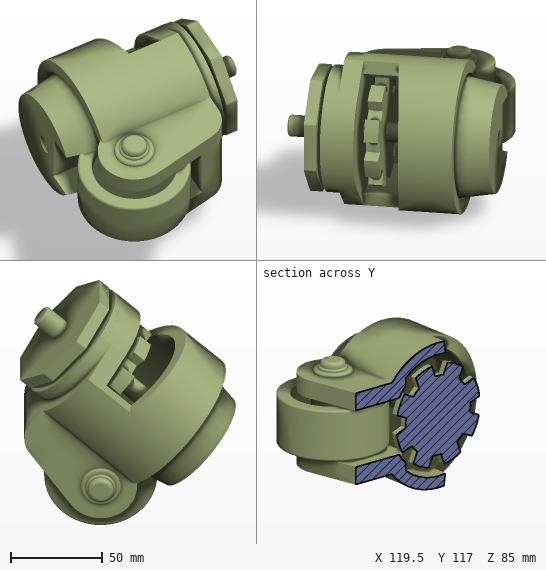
import cadquery as cq
import math


stem_top = 117.0
stem_upper_diameter = 12.0
stem_lower_diameter = 10.8
stem_chamfer = 1.0

housing_radius = 42.48
bore_radius = 35.4
housing_bottom = 18.5
housing_top = 85.5
bore_flat_x = 22.8

window_x_outer = -4.3
window_x_inner = -5.3
window_sill_edge = 55.1
window_sill_rim = 48.3
window_top = 74.8

cap_diameter = 70.0
cap_top = 93.3
arm_radius = 35.1
arm_top = 90.0
neck_diameter = 41.0
nut_bottom = 95.8
nut_top = 102.8
nut_sides = 8
nut_width = 64.9
nut_corner_radius = 1.4

pad_bottom_diameter = 60.1
pad_top_diameter = 69.0
pad_height = 25.0
pad_notch_x = 10.4
pad_hole_diameter = 10.0
pad_hole_depth = 17.9

gear_bottom = 62.0
gear_top = 69.9
gear_tip_radius = 30.0
gear_root_diameter = 46.5
gear_teeth = 8
gear_tooth_width = 12.5
gear_first_tooth_angle = 24.7
gear_chamber_radius = 32.1

wheel_diameter = 62.0
wheel_radius = wheel_diameter / 2
wheel_width = 29.4
wheel_edge_fillet = 1.2
wheel_recess_diameter = 46.5
wheel_recess_chamfer = 0.7
wheel_recess_depth = 7.8
wheel_hub_diameter = 24.0
axle_x = 46.0
axle_y = wheel_radius

fork_half_width = 26.8
slot_half_width = 16.4
slot_top = 66.0
fork_end_radius = 20.0
fork_shoulder_radius = 14.9
fork_shoulder_x = 42.5

washer_diameter = 22.0
washer_height = 2.0
washer_rounding = 1.5
collar_diameter = 16.4
collar_height = 3.5
collar_rounding = 1.14
head_diameter = 14.0
head_height = 6.9
head_rounding = 2.4

overshoot = 12.0


def turned(diameter, bottom, top):
    """Cylinder about the stem axis between two places along Y."""
    return cq.Workplane("XZ", origin=(0, bottom, 0)).circle(diameter / 2).extrude(bottom - top)


def block(x_min, x_max, y_min, y_max, half_width):
    """Box symmetric about the plane Z = 0."""
    return (
        cq.Workplane("XY", origin=(0, 0, -half_width))
        .moveTo(x_min, y_min)
        .lineTo(x_max, y_min)
        .lineTo(x_max, y_max)
        .lineTo(x_min, y_max)
        .close()
        .extrude(2 * half_width)
    )


def make_fork():
    """Solid fork profile: flat top, round shoulder, sloping back and round end about the axle."""
    shoulder_y = housing_top - fork_shoulder_radius
    to_shoulder_x = fork_shoulder_x - axle_x
    to_shoulder_y = shoulder_y - axle_y
    distance = math.hypot(to_shoulder_x, to_shoulder_y)
    normal = math.atan2(to_shoulder_y, to_shoulder_x) - math.acos(
        (fork_end_radius - fork_shoulder_radius) / distance
    )
    shoulder_mid = (normal + math.pi / 2) / 2

    def on_shoulder(angle):
        return (
            fork_shoulder_x + fork_shoulder_radius * math.cos(angle),
            shoulder_y + fork_shoulder_radius * math.sin(angle),
        )

    def on_end(angle):
        return (
            axle_x + fork_end_radius * math.cos(angle),
            axle_y + fork_end_radius * math.sin(angle),
        )

    end_stop = math.pi + math.asin((axle_y - housing_bottom) / fork_end_radius)
    end_mid = (end_stop + normal + 2 * math.pi) / 2
    return (
        cq.Workplane("XY", origin=(0, 0, -fork_half_width))
        .moveTo(bore_flat_x, housing_bottom)
        .lineTo(bore_flat_x, housing_top)
        .lineTo(fork_shoulder_x, housing_top)
        .threePointArc(on_shoulder(shoulder_mid), on_shoulder(normal))
        .lineTo(*on_end(normal))
        .threePointArc(on_end(end_mid), on_end(end_stop))
        .close()
        .extrude(2 * fork_half_width)
    )


def window_cut():
    """Opening on the -X side with a sloping sill and slightly leaning ends."""
    lean = (window_x_inner - window_x_outer) / (housing_radius - bore_radius)
    x_far = -housing_radius - overshoot
    z_far = housing_radius + overshoot
    x_at_far = window_x_outer - lean * overshoot
    plan = (
        cq.Workplane("XZ")
        .moveTo(x_far, -z_far)
        .lineTo(x_at_far, -z_far)
        .lineTo(window_x_inner, -bore_radius)
        .lineTo(window_x_inner, bore_radius)
        .lineTo(x_at_far, z_far)
        .lineTo(x_far, z_far)
        .close()
        .extrude(-window_top)
    )
    sill_slope = (window_sill_edge - window_sill_rim) / (window_x_outer + housing_radius)
    side = (
        cq.Workplane("XY", origin=(0, 0, -z_far))
        .moveTo(x_far, window_sill_rim - sill_slope * overshoot)
        .lineTo(0, window_sill_edge - sill_slope * window_x_outer)
        .lineTo(0, window_top)
        .lineTo(x_far, window_top)
        .close()
        .extrude(2 * z_far)
    )
    return plan.intersect(side)


def head_plate():
    """Top plate of the housing, narrowed to the arm on the -X side by two slanting flats."""
    flat_outer_z = math.sqrt(housing_radius**2 - window_x_outer**2)
    flat_inner_x = -math.sqrt(arm_radius**2 - fork_half_width**2)
    plate = (
        cq.Workplane("XZ", origin=(0, window_top, 0))
        .moveTo(window_x_outer, flat_outer_z)
        .threePointArc((housing_radius, 0), (window_x_outer, -flat_outer_z))
        .lineTo(flat_inner_x, -fork_half_width)
        .lineTo(flat_inner_x, fork_half_width)
        .close()
        .extrude(window_top - housing_top)
    )
    arm = turned(2 * arm_radius, window_top, arm_top).intersect(
        block(-housing_radius, flat_inner_x, window_top, arm_top, housing_radius)
    )
    return plate.union(arm)


def make_housing():
    """Housing with fork, hollowed for the foot pad, the gear and the wheel."""
    bore = turned(2 * bore_radius, housing_bottom, window_top).intersect(
        block(-housing_radius, bore_flat_x, 0, window_top, housing_radius)
    )
    body = turned(2 * housing_radius, housing_bottom, window_top)
    body = body.union(head_plate()).union(make_fork())
    chamber = turned(2 * gear_chamber_radius, gear_bottom, window_top)
    slot = block(0, axle_x + wheel_radius, 0, slot_top, slot_half_width)
    return body.cut(bore).cut(window_cut()).cut(chamber).cut(slot)


def make_cap_and_nut():
    cap = turned(cap_diameter, window_top, cap_top)
    neck = turned(neck_diameter, cap_top, nut_bottom)
    nut = (
        cq.Workplane("XZ", origin=(0, nut_bottom, 0))
        .polygon(nut_sides, nut_width, circumscribed=True)
        .extrude(nut_bottom - nut_top)
        .edges("|Y")
        .fillet(nut_corner_radius)
    )
    return cap.union(neck).union(nut)


def make_stem():
    upper = turned(stem_upper_diameter, nut_bottom, stem_top).faces(">Y").chamfer(stem_chamfer)
    lower = turned(stem_lower_diameter, pad_hole_depth, nut_bottom)
    return upper.union(lower)


def make_pad():
    """Conical foot pad with a notch for the wheel and a blind hole in its sole."""
    cone = (
        cq.Workplane("XY")
        .moveTo(0, 0)
        .lineTo(pad_bottom_diameter / 2, 0)
        .lineTo(pad_top_diameter / 2, pad_height)
        .lineTo(0, pad_height)
        .close()
        .revolve(360, (0, 0, 0), (0, 1, 0))
    )
    notch = block(pad_notch_x, pad_top_diameter, 0, pad_height, slot_half_width)
    return cone.cut(notch)


def make_gear():
    root = turned(gear_root_diameter, gear_bottom, gear_top)
    tips = turned(2 * gear_tip_radius, gear_bottom, gear_top)
    tooth = block(0, gear_tip_radius + overshoot, gear_bottom, gear_top, gear_tooth_width / 2)
    tooth = tooth.intersect(tips)
    gear = root
    for index in range(gear_teeth):
        angle = gear_first_tooth_angle + index * 360 / gear_teeth
        gear = gear.union(tooth.rotate((0, 0, 0), (0, 1, 0), -angle))
    return gear


def make_wheel():
    """Wheel, hub and axle ends as one turned body about the axle."""
    half_width = wheel_width / 2
    recess_floor = half_width - wheel_recess_depth
    tread = (
        cq.Workplane("XY", origin=(0, 0, -half_width))
        .circle(wheel_radius)
        .extrude(wheel_width)
        .edges()
        .fillet(wheel_edge_fillet)
    )
    recess = (
        cq.Workplane("XY", origin=(0, 0, recess_floor))
        .circle(wheel_recess_diameter / 2)
        .extrude(wheel_recess_depth)
    )
    rim = (
        cq.Workplane("XY", origin=(0, 0, half_width - wheel_recess_chamfer))
        .circle(wheel_recess_diameter / 2)
        .workplane(offset=wheel_recess_chamfer)
        .circle(wheel_recess_diameter / 2 + wheel_recess_chamfer)
        .loft()
    )
    recess = recess.union(rim)
    hub = cq.Workplane("XY").circle(wheel_hub_diameter / 2).extrude(slot_half_width)
    washer = (
        cq.Workplane("XY", origin=(0, 0, fork_half_width))
        .circle(washer_diameter / 2)
        .extrude(washer_height)
        .faces(">Z")
        .edges()
        .fillet(washer_rounding)
    )
    collar = (
        cq.Workplane("XY", origin=(0, 0, fork_half_width))
        .circle(collar_diameter / 2)
        .extrude(collar_height)
        .faces(">Z")
        .edges()
        .fillet(collar_rounding)
    )
    head = (
        cq.Workplane("XY")
        .circle(head_diameter / 2)
        .extrude(fork_half_width + head_height)
        .faces(">Z")
        .edges()
        .fillet(head_rounding)
    )
    fittings = hub.union(washer).union(collar).union(head)
    wheel = tread.cut(recess).cut(recess.mirror("XY"))
    wheel = wheel.union(fittings).union(fittings.mirror("XY"))
    return wheel.translate((axle_x, axle_y, 0))


pad_hole = turned(pad_hole_diameter, 0, pad_hole_depth)

result = (
    make_housing()
    .union(make_cap_and_nut())
    .union(make_pad())
    .cut(pad_hole)
    .union(make_stem())
    .union(make_gear())
    .union(make_wheel())
)